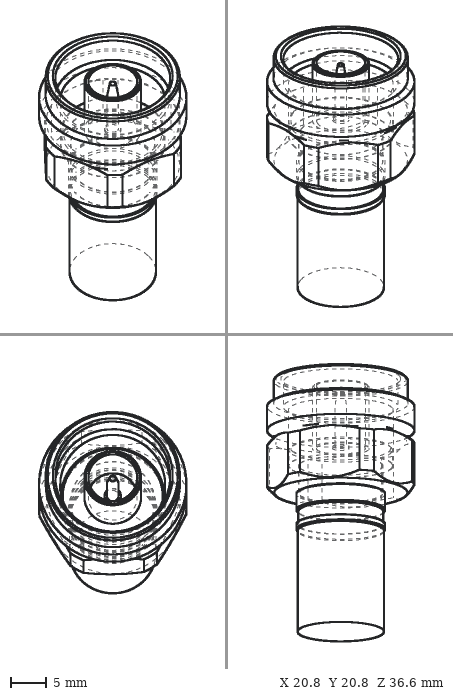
import cadquery as cq
import math

total_length = 36.6
nut_bottom_z = 20.1
flange_seat_z = 24.0
mating_floor_z = 26.5

collar_radius = 10.4
across_flats = 19.0
rim_radius = 9.47
rim_chamfer = 0.3
collar_shoulder_z = 33.05
collar_top_z = 32.6
collar_bottom_z = 29.1
waist_z = 28.1
waist_land = 0.2
waist_radius = 9.4
waist_fillet = 0.5
waist_slope = math.radians(60)
hex_bottom_radius = 9.4
hex_bottom_chamfer = collar_radius - hex_bottom_radius

bore_mouth_radius = 8.45
bore_radius = 8.1
bore_mouth_depth = 0.45
bore_step_z = 32.53
thread_radius = 7.4
thread_top_z = 32.05

neck_radius = 5.9
neck_clearance = 0.05
flange_radius = 7.3
flange_chamfer = 0.25
contact_outer_radius = 4.0
contact_inner_radius = 3.45
contact_top_z = 35.53
contact_chamfer_width = 0.2
contact_chamfer_height = 0.2

sleeve_radius = 6.1
groove_radius = 6.0
ring_radius = 6.25
ring_chamfer_height = 0.22
lower_ring_bottom_z = 14.6
lower_ring_top_z = 15.55
upper_ring_bottom_z = 17.4
upper_ring_top_z = 19.95

pin_base_radius = 1.15
pin_base_height = 0.3
pin_radius = 0.82
pin_tip_radius = 0.42
pin_taper_length = 2.5
pin_taper_top_z = 35.17
pin_dome_height = 0.25


def revolve(outline):
    """Turn a closed outline, drawn as (radius, z), into a solid around Z."""
    return outline.close().revolve(360, (0, 0, 0), (0, 1, 0))


def nut_envelope():
    """Solid of revolution that bounds the nut from the outside."""
    land_half = waist_land / 2
    cone_start_offset = land_half + waist_fillet * math.sin(waist_slope)
    cone_start_radius = waist_radius + waist_fillet * (1 - math.cos(waist_slope))
    fillet_middle_offset = land_half + waist_fillet * math.sin(waist_slope / 2)
    fillet_middle_radius = waist_radius + waist_fillet * (1 - math.cos(waist_slope / 2))
    hex_top_z = 2 * waist_z - collar_bottom_z

    outline = (
        cq.Workplane("XZ")
        .moveTo(0, nut_bottom_z)
        .lineTo(hex_bottom_radius, nut_bottom_z)
        .lineTo(collar_radius, nut_bottom_z + hex_bottom_chamfer)
        .lineTo(collar_radius, hex_top_z)
        .lineTo(cone_start_radius, waist_z - cone_start_offset)
        .threePointArc(
            (fillet_middle_radius, waist_z - fillet_middle_offset),
            (waist_radius, waist_z - land_half),
        )
        .lineTo(waist_radius, waist_z + land_half)
        .threePointArc(
            (fillet_middle_radius, waist_z + fillet_middle_offset),
            (cone_start_radius, waist_z + cone_start_offset),
        )
        .lineTo(collar_radius, collar_bottom_z)
        .lineTo(collar_radius, collar_top_z)
        .lineTo(rim_radius, collar_shoulder_z)
        .lineTo(rim_radius, total_length - rim_chamfer)
        .lineTo(rim_radius - rim_chamfer, total_length)
        .lineTo(0, total_length)
    )
    return revolve(outline)


def nut_bore():
    """Stepped cavity: mating bore, thread bore and the hole around the neck."""
    hole_radius = neck_radius + neck_clearance
    outline = (
        cq.Workplane("XZ")
        .moveTo(0, nut_bottom_z)
        .lineTo(hole_radius, nut_bottom_z)
        .lineTo(hole_radius, flange_seat_z)
        .lineTo(thread_radius, flange_seat_z)
        .lineTo(thread_radius, thread_top_z)
        .lineTo(bore_radius, bore_step_z)
        .lineTo(bore_radius, total_length - bore_mouth_depth)
        .lineTo(bore_mouth_radius, total_length)
        .lineTo(0, total_length)
    )
    return revolve(outline)


def hex_and_round_blank():
    """Hexagon with flats facing +X and -X up to the waist, plain round above it."""
    across_corners = across_flats / math.cos(math.radians(30))
    hexagon = (
        cq.Workplane("XY", origin=(0, 0, nut_bottom_z))
        .transformed(rotate=(0, 0, 30))
        .polygon(6, across_corners)
        .extrude(waist_z - nut_bottom_z)
    )
    upper = (
        cq.Workplane("XY", origin=(0, 0, waist_z))
        .circle(collar_radius)
        .extrude(total_length - waist_z)
    )
    return hexagon.union(upper)


def make_coupling_nut():
    return nut_envelope().intersect(hex_and_round_blank()).cut(nut_bore())


def make_connector_body():
    """Cable sleeve, neck, flange, outer contact tube and centre pin, all in one solid."""
    pin_taper_bottom_z = pin_taper_top_z - pin_taper_length
    pin_base_top_z = mating_floor_z + pin_base_height
    dome_top_z = pin_taper_top_z + pin_dome_height
    dome_radius = (pin_tip_radius**2 + pin_dome_height**2) / (2 * pin_dome_height)
    dome_middle_radius = pin_tip_radius / 2
    dome_middle_z = dome_top_z - dome_radius + math.sqrt(dome_radius**2 - dome_middle_radius**2)

    outline = (
        cq.Workplane("XZ")
        .moveTo(0, 0)
        .lineTo(sleeve_radius, 0)
        .lineTo(sleeve_radius, lower_ring_bottom_z)
        .lineTo(ring_radius, lower_ring_bottom_z + ring_chamfer_height)
        .lineTo(ring_radius, lower_ring_top_z)
        .lineTo(groove_radius, lower_ring_top_z)
        .lineTo(groove_radius, upper_ring_bottom_z)
        .lineTo(ring_radius, upper_ring_bottom_z + ring_chamfer_height)
        .lineTo(ring_radius, upper_ring_top_z)
        .lineTo(neck_radius, upper_ring_top_z)
        .lineTo(neck_radius, flange_seat_z)
        .lineTo(flange_radius, flange_seat_z)
        .lineTo(flange_radius, mating_floor_z - flange_chamfer)
        .lineTo(flange_radius - flange_chamfer, mating_floor_z)
        .lineTo(contact_outer_radius, mating_floor_z)
        .lineTo(contact_outer_radius, contact_top_z - contact_chamfer_height)
        .lineTo(contact_outer_radius - contact_chamfer_width, contact_top_z)
        .lineTo(contact_inner_radius, contact_top_z)
        .lineTo(contact_inner_radius, mating_floor_z)
        .lineTo(pin_base_radius, mating_floor_z)
        .lineTo(pin_base_radius, pin_base_top_z)
        .lineTo(pin_radius, pin_base_top_z)
        .lineTo(pin_radius, pin_taper_bottom_z)
        .lineTo(pin_tip_radius, pin_taper_top_z)
        .threePointArc((dome_middle_radius, dome_middle_z), (0, dome_top_z))
    )
    return revolve(outline)


coupling_nut = make_coupling_nut()
connector_body = make_connector_body()

result = cq.Compound.makeCompound([coupling_nut.val(), connector_body.val()])